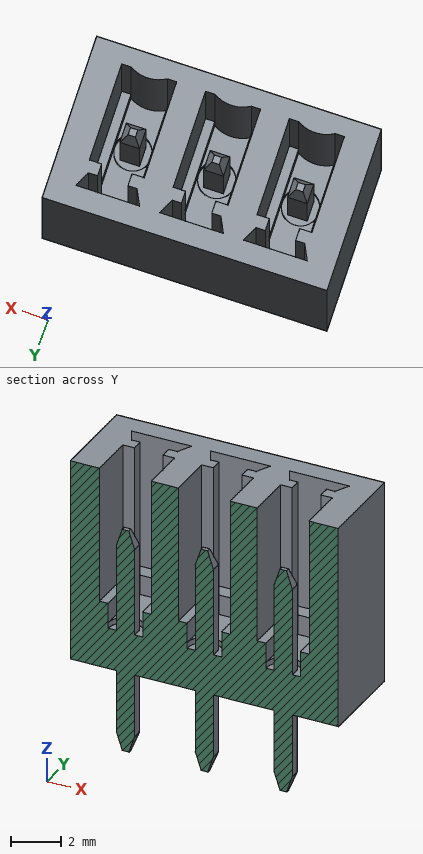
import cadquery as cq

POSITIONS = 3
PITCH = 3.5
HOUSING_LENGTH = 11.91
HOUSING_WIDTH = 6.86
TOTAL_HEIGHT = 12.7
PIN_PROJECTION = 3.6
HOUSING_HEIGHT = TOTAL_HEIGHT - PIN_PROJECTION

CAVITY_WIDTH = 2.3
CAVITY_FRONT = 0.75
CAVITY_BACK = 4.83
CHANNEL_WIDTH = 1.52
LEDGE_DEPTH = 6.1
CHANNEL_DEPTH = 6.98

RIB_WIDTH = CHANNEL_WIDTH
RIB_BULGE = 0.22

NECK_WIDTH = 1.27
DOVETAIL_FRONT = 5.33
DOVETAIL_BACK = 5.97
DOVETAIL_FRONT_WIDTH = 2.03
DOVETAIL_BACK_WIDTH = 2.67
DOVETAIL_DEPTH = LEDGE_DEPTH

PIN_SIZE = 0.83
PIN_Y = 2.8
PIN_TIP_SIZE = 0.3
PIN_TIP_LENGTH = 0.79
PIN_TOP_GAP = 2.54
RECESS_DIAMETER = CHANNEL_WIDTH
RECESS_DEPTH = 0.25


def housing_top():
    return cq.Workplane("XY", origin=(0, 0, HOUSING_HEIGHT))


def pocket(width, front, back, depth):
    """Rectangular pocket from the housing top, centred on its position in X."""
    return (
        housing_top()
        .center(0, (front + back) / 2)
        .rect(width, back - front)
        .extrude(-depth)
    )


def front_rib():
    """Upright rib whose section is a circular segment on the front wall."""
    return (
        housing_top()
        .moveTo(-RIB_WIDTH / 2, CAVITY_FRONT)
        .threePointArc((0, CAVITY_FRONT + RIB_BULGE), (RIB_WIDTH / 2, CAVITY_FRONT))
        .close()
        .extrude(-CHANNEL_DEPTH)
    )


def latch_dovetail():
    """Trapezoidal pocket, widest at the back."""
    return (
        housing_top()
        .moveTo(-DOVETAIL_FRONT_WIDTH / 2, DOVETAIL_FRONT)
        .lineTo(DOVETAIL_FRONT_WIDTH / 2, DOVETAIL_FRONT)
        .lineTo(DOVETAIL_BACK_WIDTH / 2, DOVETAIL_BACK)
        .lineTo(-DOVETAIL_BACK_WIDTH / 2, DOVETAIL_BACK)
        .close()
        .extrude(-DOVETAIL_DEPTH)
    )


def pin_recess():
    channel_floor = HOUSING_HEIGHT - CHANNEL_DEPTH
    return (
        cq.Workplane("XY", origin=(0, PIN_Y, channel_floor))
        .circle(RECESS_DIAMETER / 2)
        .extrude(-RECESS_DEPTH)
    )


def opening():
    """Everything removed from the housing at one position."""
    ledges = pocket(CAVITY_WIDTH, CAVITY_FRONT, CAVITY_BACK, LEDGE_DEPTH)
    channel = pocket(CHANNEL_WIDTH, CAVITY_FRONT, CAVITY_BACK, CHANNEL_DEPTH)
    neck = pocket(NECK_WIDTH, CAVITY_BACK, DOVETAIL_FRONT, CHANNEL_DEPTH)
    cavity = ledges.union(channel).cut(front_rib())
    return cavity.union(neck).union(latch_dovetail()).union(pin_recess())


def pin():
    """Square pin with a blunt pyramid tip at each end."""
    shaft_bottom = PIN_TIP_LENGTH - PIN_PROJECTION
    shaft_top = HOUSING_HEIGHT - PIN_TOP_GAP - PIN_TIP_LENGTH
    body = (
        cq.Workplane("XY", origin=(0, PIN_Y, shaft_bottom))
        .rect(PIN_SIZE, PIN_SIZE)
        .extrude(shaft_top - shaft_bottom)
    )
    for end_face in ("<Z", ">Z"):
        tip = (
            body.faces(end_face)
            .workplane(origin=(0, PIN_Y, 0))
            .rect(PIN_SIZE, PIN_SIZE)
            .workplane(offset=PIN_TIP_LENGTH)
            .rect(PIN_TIP_SIZE, PIN_TIP_SIZE)
            .loft(combine=False)
        )
        body = body.union(tip)
    return body


result = cq.Workplane("XY").box(
    HOUSING_LENGTH, HOUSING_WIDTH, HOUSING_HEIGHT, centered=(True, False, False)
)
for index in range(POSITIONS):
    shift = ((index - (POSITIONS - 1) / 2) * PITCH, 0, 0)
    result = result.cut(opening().translate(shift)).union(pin().translate(shift))